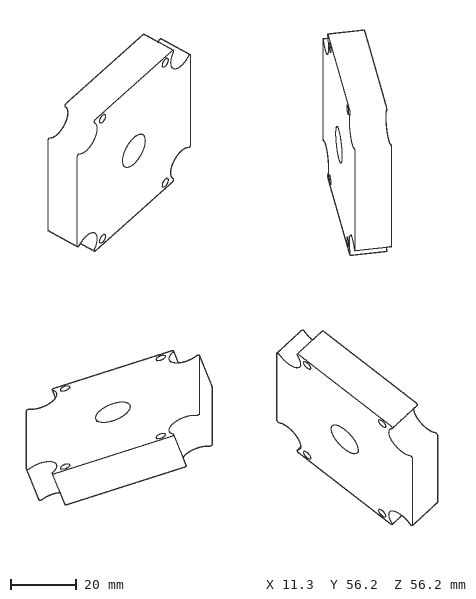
import cadquery as cq

side = 56.2
thickness = 11.35

scallop_radius = 5.3
scallop_offset = 23.5
tip_radius = 0.7

bore_diameter = 11.25
screw_hole_diameter = 3.0
screw_hole_y = 15.5
screw_hole_z = 25.6


def mirrored_points(y, z):
    """The four points at +/-y, +/-z."""
    return [(sy * y, sz * z) for sy in (-1, 1) for sz in (-1, 1)]


def corner_cutters():
    """Scallop cylinders, each joined to a block that clears the corner outside it."""
    block_size = side - 2 * scallop_offset
    corner_centres = mirrored_points(side / 2, side / 2)
    scallop_centres = mirrored_points(scallop_offset, scallop_offset)
    cylinders = cq.Workplane("YZ").pushPoints(scallop_centres).circle(scallop_radius).extrude(thickness)
    blocks = cq.Workplane("YZ").pushPoints(corner_centres).rect(block_size, block_size).extrude(thickness)
    return cylinders.union(blocks)


def scalloped_plate():
    """Plate with scalloped corners and rounded tips beside each scallop."""
    plate = cq.Workplane("YZ").rect(side, side).extrude(thickness).cut(corner_cutters())
    tolerance = 0.005
    tips = plate.edges("|X").filter(
        lambda edge: max(abs(edge.Center().y), abs(edge.Center().z)) > side / 2 - tolerance
    )
    return tips.fillet(tip_radius)


def drill(plate, centres, diameter):
    """Cut round through holes along X."""
    holes = cq.Workplane("YZ").pushPoints(centres).circle(diameter / 2).extrude(thickness)
    return plate.cut(holes)


body = scalloped_plate()
body = drill(body, [(0, 0)], bore_diameter)
body = drill(body, mirrored_points(screw_hole_y, screw_hole_z), screw_hole_diameter)
result = body.translate((-thickness / 2, 0, 0))